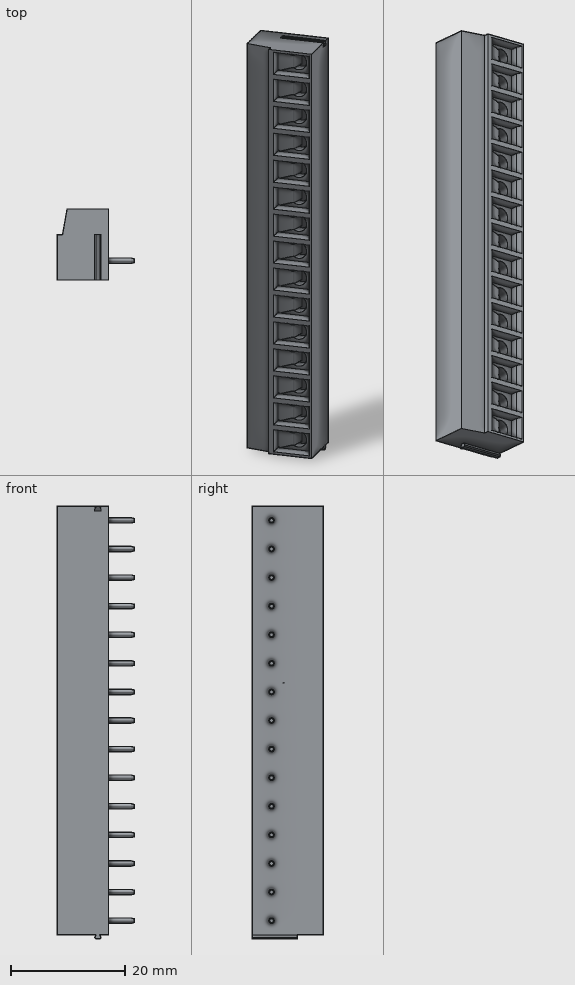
import cadquery as cq
import math

TOTAL_HEIGHT = 75.7
BODY_WIDTH = 9.0
BODY_DEPTH = 12.5
POLE_COUNT = 15

RAIL_HEIGHT = 0.7
RAIL_NECK = 0.7
RAIL_HEAD = 1.1
RAIL_FLARE_HEIGHT = 0.45
RAIL_TIP = 0.75
RECESS_DEPTH = 0.15
RAIL_X = 7.1

ENTRY_DEPTH = 7.95
SHOULDER_STEP = 0.9
SLOPE_ANGLE = 10.0

POCKET_HEIGHT = 4.1
POCKET_START_Y = 0.4
POCKET_END_Y = 7.05
POCKET_DEPTH = 2.35
LEAD_IN_WIDTH = 0.45
LEAD_IN_DEPTH = 1.0

HOLE_RADIUS = 1.5
HOLE_Y = 3.25
HOLE_DEPTH = 2.05

TONGUE_X = 1.9
TONGUE_ROOT_WIDTH = 3.7
TONGUE_END_WIDTH = 2.3
TONGUE_ROOT_RADIUS = 0.7
TONGUE_BEND_Y = 4.25
TONGUE_BEND_RADIUS = 0.4
TONGUE_BEND_ANGLE = 75.0

PIN_DIAMETER = 1.0
PIN_LENGTH = 4.5
PIN_Y = 3.4
PIN_CHAMFER_LENGTH = 0.5
PIN_CHAMFER_DEPTH = 0.15

BODY_HEIGHT = TOTAL_HEIGHT - RAIL_HEIGHT
PITCH = BODY_HEIGHT / POLE_COUNT
BODY_BOTTOM = RAIL_HEIGHT
HOLE_FLOOR_X = POCKET_DEPTH + HOLE_DEPTH


def make_body():
    slope_run = (BODY_DEPTH - ENTRY_DEPTH) * math.tan(math.radians(SLOPE_ANGLE))
    outline = [
        (0, 0),
        (BODY_WIDTH, 0),
        (BODY_WIDTH, BODY_DEPTH),
        (SHOULDER_STEP + slope_run, BODY_DEPTH),
        (SHOULDER_STEP, ENTRY_DEPTH),
        (0, ENTRY_DEPTH),
    ]
    return cq.Workplane("XY", origin=(0, 0, BODY_BOTTOM)).polyline(outline).close().extrude(BODY_HEIGHT)


def make_rail(surface_z, end_width):
    """Dovetail bar hanging below surface_z, running from the front face to the shoulder."""
    half_profile = [
        (RAIL_NECK / 2, 0),
        (RAIL_HEAD / 2, -RAIL_FLARE_HEIGHT),
        (end_width / 2, -RAIL_HEIGHT),
    ]
    profile = half_profile + [(-x, z) for x, z in reversed(half_profile)]
    return (
        cq.Workplane("XZ", origin=(RAIL_X, 0, surface_z))
        .polyline(profile)
        .close()
        .extrude(-ENTRY_DEPTH)
    )


def make_groove():
    """Dovetail groove in the top, sunk below a shallow recess as wide as its floor."""
    recess = (
        cq.Workplane("XY", origin=(RAIL_X, 0, TOTAL_HEIGHT))
        .rect(RAIL_HEAD, 2 * ENTRY_DEPTH)
        .extrude(-RECESS_DEPTH)
    )
    return make_rail(TOTAL_HEIGHT - RECESS_DEPTH, RAIL_HEAD).union(recess)


def extrude_pole(sketch, height):
    """Close an XY sketch and extrude it symmetrically about the middle of a pole."""
    return sketch.close().extrude(height / 2, both=True)


def make_pocket():
    """Wire entry with a lead-in slope on its front wall, plus the round clamp hole."""
    outline = [
        (0, POCKET_START_Y),
        (LEAD_IN_DEPTH, POCKET_START_Y + LEAD_IN_WIDTH),
        (POCKET_DEPTH, POCKET_START_Y + LEAD_IN_WIDTH),
        (POCKET_DEPTH, POCKET_END_Y),
        (0, POCKET_END_Y),
    ]
    entry = extrude_pole(cq.Workplane("XY").polyline(outline), POCKET_HEIGHT)
    hole = cq.Workplane("YZ").center(HOLE_Y, 0).circle(HOLE_RADIUS).extrude(HOLE_FLOOR_X)
    return entry.union(hole)


def make_tongue():
    """Tapered tongue: rounded root, flat top, end bent down to the bottom of the hole."""
    def on_bend(angle):
        """Point on the rounded bend, with the angle measured from the flat top."""
        turn = math.radians(angle)
        return (
            TONGUE_X + TONGUE_BEND_RADIUS * (1 - math.cos(turn)),
            TONGUE_BEND_Y - TONGUE_BEND_RADIUS * math.sin(turn),
        )

    root_y = POCKET_END_Y - TONGUE_ROOT_RADIUS
    bend_end = on_bend(TONGUE_BEND_ANGLE)
    end_run = (HOLE_FLOOR_X - bend_end[0]) / math.tan(math.radians(TONGUE_BEND_ANGLE))
    root_offset = TONGUE_ROOT_RADIUS * (1 - math.sqrt(0.5))
    section = (
        cq.Workplane("XY")
        .moveTo(TONGUE_X, root_y)
        .lineTo(TONGUE_X, TONGUE_BEND_Y)
        .threePointArc(on_bend(TONGUE_BEND_ANGLE / 2), bend_end)
        .lineTo(HOLE_FLOOR_X, bend_end[1] - end_run)
        .lineTo(HOLE_FLOOR_X, POCKET_END_Y)
        .lineTo(TONGUE_X + TONGUE_ROOT_RADIUS, POCKET_END_Y)
        .threePointArc(
            (TONGUE_X + root_offset, POCKET_END_Y - root_offset),
            (TONGUE_X, root_y),
        )
    )
    bar = extrude_pole(section, TONGUE_ROOT_WIDTH)
    half_root = TONGUE_ROOT_WIDTH / 2
    half_end = TONGUE_END_WIDTH / 2
    face_outline = [
        (POCKET_END_Y, half_root),
        (root_y, half_root),
        (TONGUE_BEND_Y, half_end),
        (0, half_end),
        (0, -half_end),
        (TONGUE_BEND_Y, -half_end),
        (root_y, -half_root),
        (POCKET_END_Y, -half_root),
    ]
    return bar.intersect(cq.Workplane("YZ").polyline(face_outline).close().extrude(HOLE_FLOOR_X))


def make_pin():
    return (
        cq.Workplane("YZ", origin=(BODY_WIDTH, PIN_Y, 0))
        .circle(PIN_DIAMETER / 2)
        .extrude(PIN_LENGTH)
        .faces(">X")
        .edges()
        .chamfer(PIN_CHAMFER_LENGTH, PIN_CHAMFER_DEPTH)
    )


result = make_body().cut(make_groove()).union(make_rail(BODY_BOTTOM, RAIL_TIP))

cavity = make_pocket().cut(make_tongue())
pin = make_pin()
for pole in range(POLE_COUNT):
    pole_z = BODY_BOTTOM + PITCH * (pole + 0.5)
    result = result.cut(cavity.translate((0, 0, pole_z)))
    result = result.union(pin.translate((0, 0, pole_z)))